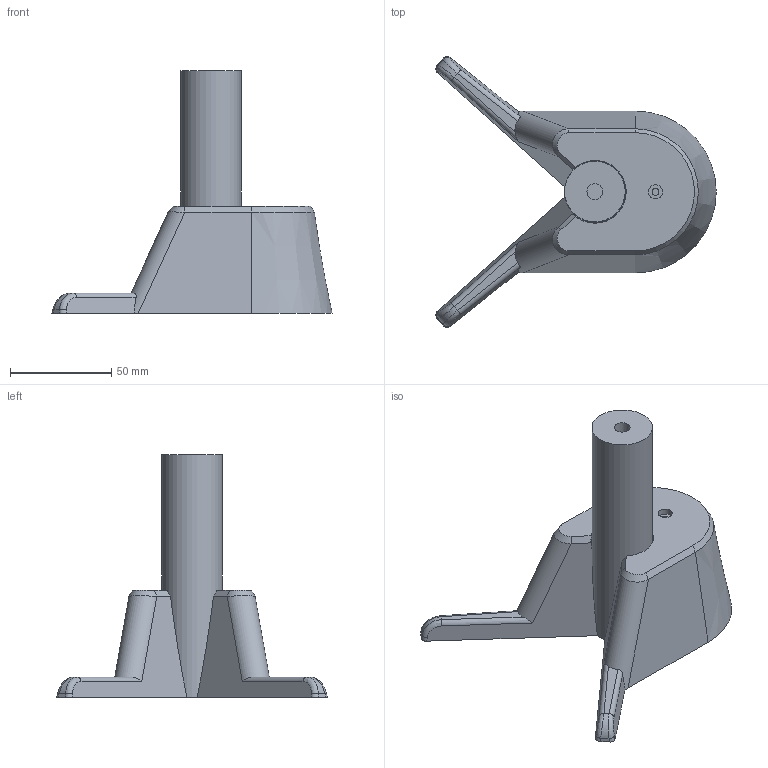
import cadquery as cq
import math

base_half_width = 40.0
nose_center_x = 20.0
base_height = 53.0
lean_angle = 10.0
prong_radius = 8.0
bevel_depth = 3.0
bevel_width = 1.4

notch_angle = 41.8
notch_apex_x = -11.9

leg_height = 10.0
leg_outer_angle = 38.4
leg_outer_crossing_y = 9.75
leg_reach = 99.9
leg_root = 30.0
leg_end_radius = 10.0
leg_edge_radius = 2.5

post_diameter = 30.0
post_height = 120.0
post_hole_diameter = 7.9
post_hole_depth = 20.0
groove_diameter = 31.0
groove_depth = 3.0

screw_x = 30.0
screw_diameter = 3.4
screw_depth = 16.0
screw_head_diameter = 7.0
screw_head_depth = 3.0


def side_line(angle, x, y):
    """Line through (x, y) rising toward -X, as its unit normal and distance from the origin."""
    nx = math.sin(math.radians(angle))
    ny = math.cos(math.radians(angle))
    return nx, ny, nx * x + ny * y


def crossing(line_a, line_b):
    """Point where two lines meet."""
    ax, ay, a = line_a
    bx, by, b = line_b
    det = ax * by - ay * bx
    return (a * by - b * ay) / det, (ax * b - bx * a) / det


notch_side = side_line(notch_angle, notch_apex_x, 0)


def make_block():
    """Base without legs or holes."""
    prong_x, prong_y = crossing(notch_side, (0, 1, base_half_width))
    block = (
        cq.Workplane("XY")
        .moveTo(notch_apex_x, 0)
        .lineTo(prong_x, prong_y)
        .lineTo(nose_center_x, base_half_width)
        .threePointArc((nose_center_x + base_half_width, 0), (nose_center_x, -base_half_width))
        .lineTo(prong_x, -prong_y)
        .close()
        .extrude(base_height, taper=lean_angle)
    )
    block = block.edges("<X").fillet(prong_radius)
    return block.faces(">Z").edges().chamfer(bevel_depth, bevel_width)


def make_leg():
    """Leg on the +Y side, rounded over at its end and then along its sides and end corners."""
    leg_angle = math.radians((notch_angle + leg_outer_angle) / 2)
    along = (-math.cos(leg_angle), math.sin(leg_angle))
    outer_side = side_line(leg_outer_angle, 0, leg_outer_crossing_y)
    end = (*along, leg_reach)
    root = (*along, leg_root)
    corners = [
        crossing(root, notch_side),
        crossing(end, notch_side),
        crossing(end, outer_side),
        crossing(root, outer_side),
    ]
    leg = cq.Workplane("XY").polyline(corners).close().extrude(leg_height, taper=lean_angle)
    leg = leg.faces(">Z").edges("<X").fillet(leg_end_radius)
    long_edges = leg.faces(">Z").edges().filter(lambda edge: edge.Length() > leg_reach / 2)
    return long_edges.fillet(leg_edge_radius)


def make_base():
    """Block and both legs in one piece, with the post bore and the screw hole."""
    leg = make_leg()
    base = make_block().union(leg).union(leg.mirror("XZ"))
    top = cq.Workplane("XY", origin=(0, 0, base_height))
    bore = top.circle(post_diameter / 2).extrude(-base_height)
    groove = top.circle(groove_diameter / 2).extrude(-groove_depth)
    return (
        base.cut(bore)
        .cut(groove)
        .faces(">Z")
        .workplane(origin=(screw_x, 0, base_height))
        .cboreHole(screw_diameter, screw_head_diameter, screw_head_depth, screw_depth)
    )


def make_post():
    """Round post standing in the bore, with a blind hole in its top."""
    return (
        cq.Workplane("XY")
        .circle(post_diameter / 2)
        .extrude(post_height)
        .faces(">Z")
        .workplane()
        .hole(post_hole_diameter, post_hole_depth)
    )


base = make_base()
post = make_post()
result = cq.Compound.makeCompound([base.val(), post.val()])